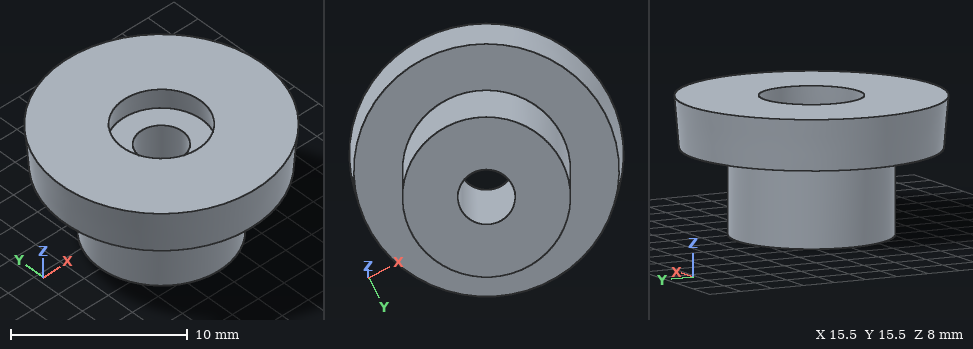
import cadquery as cq
import math

rim_diameter = 15.52
flange_thickness = 3.0
flange_draft = 5.0
stem_diameter = 9.5
stem_length = 5.0
bore_diameter = 3.25
recess_mouth_diameter = 5.98
recess_depth = 1.5
recess_draft = 5.0

flange_bottom = stem_length
flange_top = flange_bottom + flange_thickness
recess_floor = flange_top - recess_depth

rim_radius = rim_diameter / 2
flange_bottom_radius = rim_radius - flange_thickness * math.tan(math.radians(flange_draft))
stem_radius = stem_diameter / 2
bore_radius = bore_diameter / 2
recess_mouth_radius = recess_mouth_diameter / 2
recess_floor_radius = recess_mouth_radius + recess_depth * math.tan(math.radians(recess_draft))

half_section = [
    (bore_radius, 0),
    (stem_radius, 0),
    (stem_radius, flange_bottom),
    (flange_bottom_radius, flange_bottom),
    (rim_radius, flange_top),
    (recess_mouth_radius, flange_top),
    (recess_floor_radius, recess_floor),
    (bore_radius, recess_floor),
]

result = cq.Workplane("XZ").polyline(half_section).close().revolve(360, (0, 0, 0), (0, 1, 0))